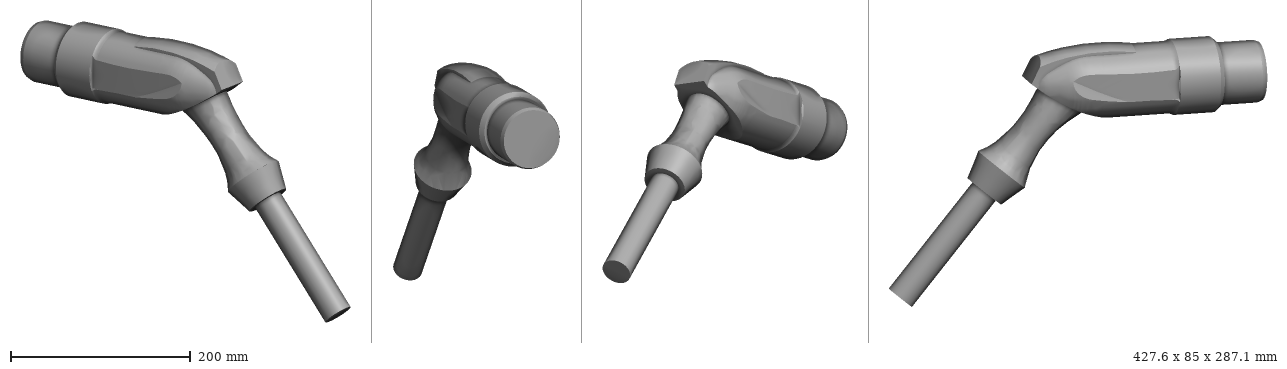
import cadquery as cq
import math

plug_radius = 35.0
plug_chamfer_length = 5.5
plug_chamfer_depth = 2.0

collar_start = 50.5
collar_end = 102.3
collar_radius = 42.5
collar_chamfer_length = 5.5
collar_chamfer_depth = 4.5

body_radius = 40.5
body_fillet_length = 6.0
nose_start = 190.0
nose_shoulder = (217.0, 38.9)
nose_middle = (244.0, 29.7)
nose_end = (262.0, 19.3)

flat_collar_y = 36.5
flat_middle = (150.0, 37.2)
flat_nose = (240.0, 34.4)
flat_low = (155.0, -18.5)
flat_high = (231.0, 5.5)
ramp_run = 15.0
ramp_rise = 4.0

spine_half_width = 20.0
spine_start = (148.2, 41.5)
spine_crown = (191.0, 43.9)
spine_crown_end = (268.9, 30.3)
spine_end = (255.0, 34.7)
spine_tip = (268.9, 7.4)

underside_start = (174.0, -body_radius)
underside_middle = (224.0, -21.5)

rod_radius = 16.5
rod_tilt = 50.0
rod_end = (415.0, -232.5)
rod_length = 151.0

knob_face_radius = 24.0
knob_radius = 33.0
knob_length = 31.0
neck_half_width = 22.7
ring_points = 8
neck_sections = [
    (knob_length, knob_radius, knob_radius, knob_radius),
    (48.0, 25.5, 25.0, 25.5),
    (66.0, 20.8, 20.6, neck_half_width),
    (95.0, 20.5, 19.5, neck_half_width),
    (125.0, 27.5, 25.0, neck_half_width),
    (145.0, 36.0, 29.0, neck_half_width),
]


def revolve_about_x(outline):
    return outline.close().revolve(360, (0, 0, 0), (1, 0, 0))


def make_plug_and_collar():
    outline = (
        cq.Workplane("XZ")
        .moveTo(0, 0)
        .lineTo(0, plug_radius - plug_chamfer_depth)
        .lineTo(plug_chamfer_length, plug_radius)
        .lineTo(collar_start, plug_radius)
        .lineTo(collar_start, collar_radius - collar_chamfer_depth)
        .lineTo(collar_start + collar_chamfer_length, collar_radius)
        .lineTo(collar_end, collar_radius)
        .lineTo(collar_end, 0)
    )
    return revolve_about_x(outline)


def make_body():
    """Round body from the collar to the tapering nose."""
    fillet_height = collar_radius - body_radius
    fillet_radius = (body_fillet_length ** 2 + fillet_height ** 2) / (2 * fillet_height)
    outline = (
        cq.Workplane("XZ")
        .moveTo(collar_end, 0)
        .lineTo(collar_end, collar_radius)
        .radiusArc((collar_end + body_fillet_length, body_radius), -fillet_radius)
        .lineTo(nose_start, body_radius)
        .spline([nose_shoulder, nose_middle, nose_end], tangents=[(1, 0), (1, -1)], includeCurrent=True)
        .lineTo(nose_end[0], 0)
    )
    return revolve_about_x(outline)


def make_flat_cutter():
    """Block that cuts the flat on the -Y side, with a ramp at its sloping end."""
    run = flat_high[0] - flat_low[0]
    rise = flat_high[1] - flat_low[1]
    slope_length = math.hypot(run, rise)
    reach = 4 * collar_radius
    barrel_depth = flat_middle[1] - flat_nose[1]

    def section(height):
        """Outline of the cut at a height above the widest place of the flat."""
        shift = ramp_run * height / ramp_rise
        low_x = flat_low[0] + shift * rise / slope_length
        low_z = flat_low[1] - shift * run / slope_length
        top_x = low_x + run * reach / slope_length
        top_z = low_z + rise * reach / slope_length
        return [(collar_end, low_z), (low_x, low_z), (top_x, top_z), (collar_end, top_z)]

    ramped_block = (
        cq.Workplane("XZ", origin=(0, barrel_depth - flat_middle[1], 0))
        .polyline(section(-barrel_depth)).close()
        .workplane(offset=barrel_depth + ramp_rise)
        .polyline(section(ramp_rise)).close()
        .loft(ruled=True)
    )
    outside_of_flat = (
        cq.Workplane("XY")
        .moveTo(collar_end, -flat_collar_y)
        .threePointArc((flat_middle[0], -flat_middle[1]), (flat_nose[0], -flat_nose[1]))
        .lineTo(flat_nose[0], -reach)
        .lineTo(collar_end, -reach)
        .close()
        .extrude(reach, both=True)
    )
    return ramped_block.intersect(outside_of_flat)


def make_spine():
    """Crowned strip along the top of the body, ending in a sloping face."""
    outline = (
        cq.Workplane("XZ")
        .moveTo(spine_start[0], 0)
        .lineTo(*spine_start)
        .threePointArc(spine_crown, spine_crown_end)
        .lineTo(spine_crown_end[0], 0)
    )
    side = (
        cq.Workplane("XZ")
        .moveTo(spine_start[0], underside_middle[1])
        .lineTo(spine_start[0], collar_radius * 2)
        .lineTo(spine_end[0], collar_radius * 2)
        .lineTo(*spine_end)
        .lineTo(*spine_tip)
        .lineTo(spine_tip[0], underside_middle[1])
        .close()
        .extrude(spine_half_width, both=True)
    )
    return revolve_about_x(outline).intersect(side)


def make_underside_cutter():
    """Block below the curved underside of the nose and the spine."""
    return (
        cq.Workplane("XZ")
        .moveTo(*underside_start)
        .threePointArc(underside_middle, spine_tip)
        .lineTo(spine_tip[0] + collar_radius, spine_tip[1])
        .lineTo(spine_tip[0] + collar_radius, 2 * underside_start[1])
        .lineTo(underside_start[0], 2 * underside_start[1])
        .close()
        .extrude(2 * collar_radius, both=True)
    )


def make_handle():
    """Rod, knob and neck on the tilted axis."""
    tilt = math.radians(rod_tilt)
    axis = cq.Vector(math.cos(tilt), 0, -math.sin(tilt))
    upward = cq.Vector(math.sin(tilt), 0, math.cos(tilt))
    free_end = cq.Vector(rod_end[0], 0, rod_end[1])
    face = free_end - axis * rod_length

    rod = cq.Solid.makeCylinder(rod_radius, rod_length, face, axis)
    knob = cq.Solid.makeCone(knob_radius, knob_face_radius, knob_length, face - axis * knob_length, axis)

    angles = [math.tau * k / ring_points for k in range(ring_points)]
    rings = []
    for setback, lower, upper, half_width in neck_sections:
        centre = face - axis * setback + upward * ((upper - lower) / 2)
        half_height = (upper + lower) / 2
        plane = cq.Plane(centre, xDir=upward, normal=axis)
        points = [(half_height * math.cos(a), half_width * math.sin(a)) for a in angles]
        rings.append(cq.Workplane(plane).spline(points, periodic=True).wire().val())
    neck = cq.Solid.makeLoft(rings)
    return cq.Workplane(neck).union(cq.Workplane(knob)).union(cq.Workplane(rod))


flat_cutter = make_flat_cutter()
body = make_body().cut(flat_cutter).cut(flat_cutter.mirror("XZ"))
body = body.union(make_spine()).cut(make_underside_cutter())

result = make_plug_and_collar().union(body).union(make_handle())